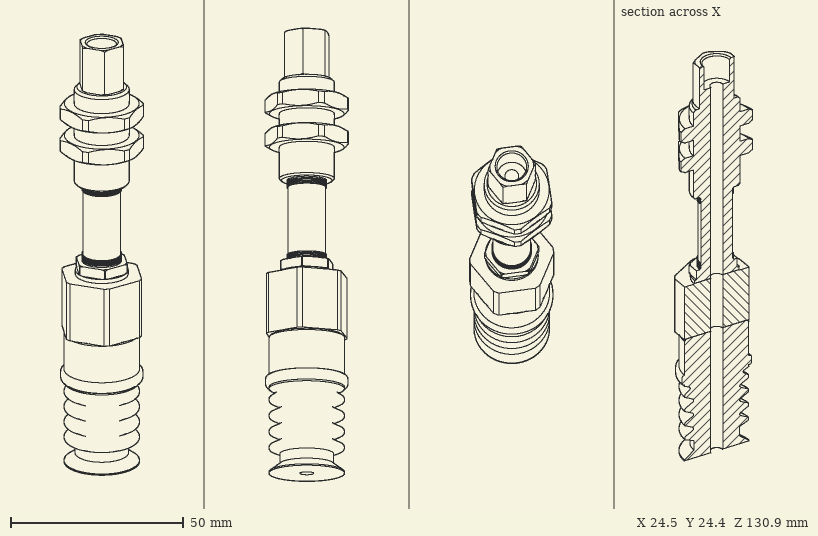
import cadquery as cq
import math

total_height = 130.9
sleeve_top = 117.0
upper_nut_bottom = 106.85
lower_nut_bottom = 96.9
sleeve_bottom = 87.0
holder_bottom = 58.6
filter_bottom = 40.8
cup_body_bottom = 28.9

air_bore_diameter = 4.0

connector_across_flats = 12.0
connector_face_diameter = 12.7
connector_bore_diameter = 8.6
connector_bore_depth = 8.0
connector_bore_chamfer = 0.5
sleeve_diameter = 16.0
sleeve_top_chamfer = 0.8
sleeve_bottom_chamfer = 0.6
vent_diameter = 1.2
vent_depth = 2.0
vent_height = sleeve_bottom + 2.3
nut_thickness = 4.95
rod_diameter = 11.0
ring_diameter = 11.6
rib_height = 0.4
ribs_per_ring = 3
ring_height = (2 * ribs_per_ring - 1) * rib_height
holder_collar_diameter = 15.4
holder_collar_height = 1.25
holder_hex_across_flats = 14.0
holder_hex_corner_diameter = 16.0
holder_hex_face_diameter = 15.2
holder_hex_height = 3.0

large_across_flats = 22.0
filter_corner_diameter = 24.5
nut_corner_diameter = 24.4
nut_face_diameter = 21.7
chamfer_angle = math.radians(30)

cup_diameter = 22.0
cup_top_chamfer = 0.5
flange_diameter = 24.0
flange_height = 3.3
flange_rounding = 0.95
flange_step_height = 0.5
fold_count = 4
fold_pitch = 4.75
lowest_nose_middle = 7.6
nose_height = 1.0
nose_rounding = 0.75
valley_diameter = 15.65
valley_rounding = 0.5
first_valley_diameter = 18.2
first_valley_height = 23.95
neck_top = 5.8
neck_bottom = 2.8
lip_thickness = 0.4


def cylinder(diameter, bottom, top):
    return cq.Workplane("XY").workplane(offset=bottom).circle(diameter / 2).extrude(top - bottom)


def hexagon(across_flats, bottom, top, corner_axis_angle=0):
    """Hexagonal prism with one corner at the given angle from +X."""
    corner_diameter = across_flats / math.cos(math.pi / 6)
    prism = cq.Workplane("XY").workplane(offset=bottom).polygon(6, corner_diameter).extrude(top - bottom)
    return prism.rotate((0, 0, 0), (0, 0, 1), corner_axis_angle)


def turned_blank(corner_diameter, face_diameter, bottom, top):
    """Cylinder coned at both ends, which gives a hexagon its rounded and chamfered corners."""
    corner_radius = corner_diameter / 2
    face_radius = face_diameter / 2
    cone_height = (corner_radius - face_radius) * math.tan(chamfer_angle)
    return (
        cq.Workplane("XZ")
        .moveTo(0, bottom)
        .lineTo(face_radius, bottom)
        .lineTo(corner_radius, bottom + cone_height)
        .lineTo(corner_radius, top - cone_height)
        .lineTo(face_radius, top)
        .lineTo(0, top)
        .close()
        .revolve(360, (0, 0, 0), (0, 1, 0))
    )


def nut(bottom):
    top = bottom + nut_thickness
    blank = turned_blank(nut_corner_diameter, nut_face_diameter, bottom, top)
    return hexagon(large_across_flats, bottom, top, 90).intersect(blank)


def wiper_ring(bottom):
    """Stack of narrow ribs around the rod."""
    ring = cylinder(rod_diameter, bottom, bottom + ring_height)
    for rib in range(ribs_per_ring):
        rib_bottom = bottom + 2 * rib * rib_height
        ring = ring.union(cylinder(ring_diameter, rib_bottom, rib_bottom + rib_height))
    return ring


def sleeve():
    body = (
        cylinder(sleeve_diameter, sleeve_bottom, sleeve_top)
        .faces(">Z")
        .chamfer(sleeve_top_chamfer)
        .faces("<Z")
        .chamfer(sleeve_bottom_chamfer)
    )
    vent = (
        cq.Workplane("YZ")
        .workplane(offset=-sleeve_diameter / 2)
        .center(0, vent_height)
        .circle(vent_diameter / 2)
        .extrude(vent_depth)
    )
    return body.cut(vent)


def connector_hexagon():
    corner_diameter = connector_across_flats / math.cos(math.pi / 6)
    blank = turned_blank(corner_diameter, connector_face_diameter, sleeve_top, total_height)
    return hexagon(connector_across_flats, sleeve_top, total_height).intersect(blank)


def connector_bore():
    bore = cylinder(connector_bore_diameter, total_height - connector_bore_depth, total_height)
    chamfer_cone = cq.Workplane("XY").add(
        cq.Solid.makeCone(
            connector_bore_diameter / 2,
            connector_bore_diameter / 2 + connector_bore_chamfer,
            connector_bore_chamfer,
            cq.Vector(0, 0, total_height - connector_bore_chamfer),
        )
    )
    return bore.union(chamfer_cone)


def build_compensator():
    hex_bottom = holder_bottom + holder_collar_height
    hex_top = hex_bottom + holder_hex_height
    holder_blank = turned_blank(holder_hex_corner_diameter, holder_hex_face_diameter, hex_bottom, hex_top)
    body = (
        sleeve()
        .union(connector_hexagon())
        .union(nut(upper_nut_bottom))
        .union(nut(lower_nut_bottom))
        .union(cylinder(rod_diameter, hex_top, sleeve_bottom))
        .union(wiper_ring(sleeve_bottom - ring_height))
        .union(wiper_ring(hex_top))
        .union(hexagon(holder_hex_across_flats, hex_bottom, hex_top).intersect(holder_blank))
        .union(cylinder(holder_collar_diameter, holder_bottom, hex_bottom))
    )
    air_bore = cylinder(air_bore_diameter, holder_bottom, total_height)
    return body.cut(connector_bore()).cut(air_bore)


def build_filter_housing():
    housing = hexagon(large_across_flats, filter_bottom, holder_bottom)
    rounded_corners = cylinder(filter_corner_diameter, filter_bottom, holder_bottom)
    air_bore = cylinder(air_bore_diameter, filter_bottom, holder_bottom)
    return housing.intersect(rounded_corners).cut(air_bore)


def rounded_profile(corners):
    """Closed outline through (radius, height, rounding) corners, with tangent arcs at rounded ones."""
    outline = cq.Workplane("XZ").moveTo(*corners[0][:2])
    for before, corner, after in zip(corners, corners[1:], corners[2:] + corners[:1]):
        point = cq.Vector(corner[0], corner[1])
        rounding = corner[2]
        if rounding == 0:
            outline = outline.lineTo(point.x, point.y)
            continue
        back = (cq.Vector(before[0], before[1]) - point).normalized()
        ahead = (cq.Vector(after[0], after[1]) - point).normalized()
        half_angle = back.getAngle(ahead) / 2
        tangent_length = rounding / math.tan(half_angle)
        apex_gap = rounding / math.sin(half_angle) - rounding
        start = point + back * tangent_length
        middle = point + (back + ahead).normalized() * apex_gap
        end = point + ahead * tangent_length
        outline = outline.lineTo(start.x, start.y)
        outline = outline.threePointArc((middle.x, middle.y), (end.x, end.y))
    return outline.close()


def bellows_corners():
    """Corners of the folds, from the flange down to the neck."""
    nose_radius = cup_diameter / 2
    valley_radius = valley_diameter / 2 - valley_rounding
    corners = [(first_valley_diameter / 2 - valley_rounding, first_valley_height, valley_rounding)]
    for fold in reversed(range(fold_count)):
        nose_middle = lowest_nose_middle + fold * fold_pitch
        corners.append((nose_radius, nose_middle + nose_height / 2, nose_rounding))
        corners.append((nose_radius, nose_middle - nose_height / 2, nose_rounding))
        if fold > 0:
            corners.append((valley_radius, nose_middle - fold_pitch / 2, valley_rounding))
    return corners


def build_suction_cup():
    cup_radius = cup_diameter / 2
    flange_radius = flange_diameter / 2
    neck_radius = valley_diameter / 2
    bore_radius = air_bore_diameter / 2
    flange_bottom = cup_body_bottom - flange_height
    corners = [
        (bore_radius, filter_bottom, 0),
        (cup_radius - cup_top_chamfer, filter_bottom, 0),
        (cup_radius, filter_bottom - cup_top_chamfer, 0),
        (cup_radius, cup_body_bottom, 0),
        (flange_radius, cup_body_bottom, flange_rounding),
        (flange_radius, flange_bottom, flange_rounding),
        (cup_radius, flange_bottom, 0),
        (cup_radius, flange_bottom - flange_step_height, 0),
        *bellows_corners(),
        (neck_radius, neck_top, 0),
        (neck_radius, neck_bottom, 0),
        (cup_radius, lip_thickness, 0),
        (cup_radius, 0, 0),
        (bore_radius, 0, 0),
    ]
    return rounded_profile(corners).revolve(360, (0, 0, 0), (0, 1, 0))


compensator = build_compensator()
filter_housing = build_filter_housing()
suction_cup = build_suction_cup()

result = cq.Compound.makeCompound([compensator.val(), filter_housing.val(), suction_cup.val()])